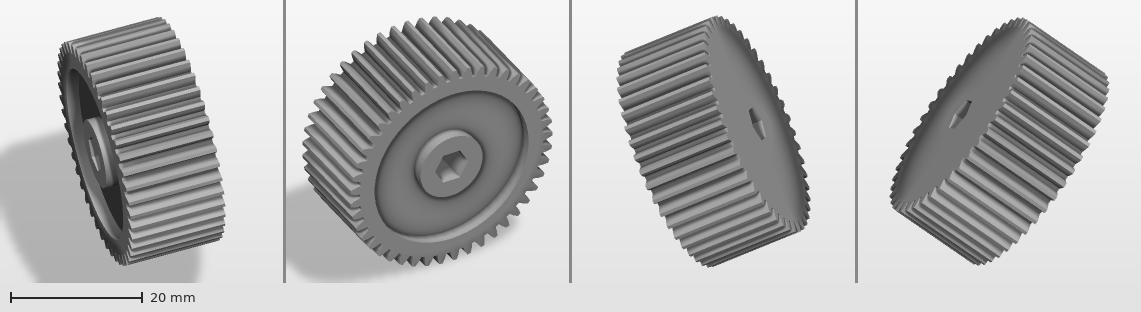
import cadquery as cq
import math

tooth_count = 45
outer_diameter = 35.25
face_width = 15.0
pressure_angle = math.radians(20)
dedendum_factor = 1.25

recess_diameter = 26.85
hub_diameter = 10.8
recess_depth = 2.0
hex_across_flats = 5.0
hex_sides = 6

module = outer_diameter / (tooth_count + 2)
outer_radius = outer_diameter / 2
pitch_radius = module * tooth_count / 2
base_radius = pitch_radius * math.cos(pressure_angle)
root_radius = pitch_radius - dedendum_factor * module
tooth_pitch = 2 * math.pi / tooth_count

front_y = -face_width / 2
back_y = face_width / 2


def polar(radius, angle):
    return radius * math.cos(angle), radius * math.sin(angle)


def involute_angle(radius):
    """Polar angle swept by the base-circle involute when it reaches a radius."""
    roll = math.acos(base_radius / radius)
    return math.tan(roll) - roll


def half_tooth_angle(radius):
    """Half the angle that a tooth spans at a radius; a quarter pitch on the pitch circle."""
    return tooth_pitch / 4 + involute_angle(pitch_radius) - involute_angle(radius)


def flank_points(centre_angle, side):
    """Root, pitch and tip points of one flank; side is -1 or +1."""
    radii = [root_radius, pitch_radius, outer_radius]
    return [polar(radius, centre_angle + side * half_tooth_angle(radius)) for radius in radii]


def gear_blank():
    """Toothed disc; each flank is two flat faces meeting on the pitch circle."""
    first_root = flank_points(0, -1)[0]
    outline = cq.Workplane("XZ", origin=(0, back_y, 0)).moveTo(*first_root)
    for tooth in range(tooth_count):
        centre = tooth * tooth_pitch
        rising_pitch, rising_tip = flank_points(centre, -1)[1:]
        falling_root, falling_pitch, falling_tip = flank_points(centre, 1)
        next_root = flank_points(centre + tooth_pitch, -1)[0]
        outline = (
            outline.lineTo(*rising_pitch)
            .lineTo(*rising_tip)
            .threePointArc(polar(outer_radius, centre), falling_tip)
            .lineTo(*falling_pitch)
            .lineTo(*falling_root)
            .threePointArc(polar(root_radius, centre + tooth_pitch / 2), next_root)
        )
    return outline.close().extrude(face_width)


def web_recess():
    """Ring-shaped pocket in the front face that leaves the hub standing flush with the rim."""
    return (
        cq.Workplane("XZ", origin=(0, front_y + recess_depth, 0))
        .circle(recess_diameter / 2)
        .circle(hub_diameter / 2)
        .extrude(recess_depth)
    )


def hex_bore():
    """Through bore with two corners on the X axis."""
    across_corners = hex_across_flats / math.cos(math.pi / hex_sides)
    return (
        cq.Workplane("XZ", origin=(0, back_y, 0))
        .polygon(hex_sides, across_corners)
        .extrude(face_width)
    )


result = gear_blank().cut(web_recess()).cut(hex_bore())